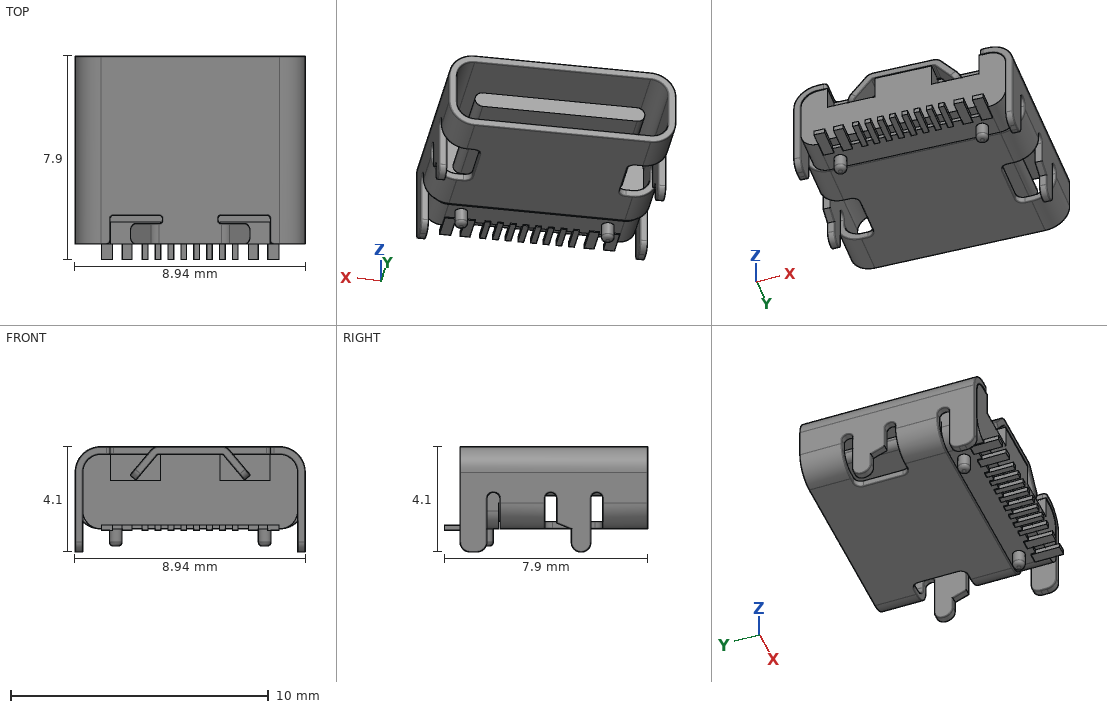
import cadquery as cq
import math


shell_width = 8.94
shell_height = 3.2
shell_length = 7.3
shell_wall = 0.3
shell_outer_radius = 1.0
shell_inner_radius = shell_outer_radius - shell_wall
shell_bottom = 0.05
shell_top = shell_bottom + shell_height
shell_middle = shell_bottom + shell_height / 2
bend_top = shell_bottom + shell_outer_radius
inner_width = shell_width - 2 * shell_wall
inner_height = shell_height - 2 * shell_wall
edge_rounding = 0.03
sharp_edge_cosine = 0.5
length_tolerance = 0.01

overall_height = 4.1
leg_bottom = shell_top - overall_height
leg_slot_width = 0.45
leg_slot_top = 1.47
mid_leg_rear = 4.32
mid_leg_front = 5.09
mid_shoulder_rear = 3.75
mid_shoulder_bottom = 0.28
rear_leg_front = 1.05
rear_leg_radius = 0.4
rear_slot_front = 1.55

floor_opening_rear = mid_shoulder_rear - leg_slot_width
floor_opening_front = mid_leg_front + leg_slot_width
floor_opening_inner_x = 2.9
floor_opening_radius = 0.3

tab_root_x = 1.22
tab_width = 0.8
tab_angle = 50.0
tab_bend_inner_radius = 0.1
tab_straight_length = 1.26
tab_tip_radius = 0.3
notch_outer_x = 3.11
notch_inner_x = 1.08
notch_depth = 1.12
notch_radius = 0.14

housing_rear = 0.0
housing_foot_front = 1.5
housing_front = 1.8
pocket_outer_x = 3.09
pocket_inner_x = 1.15
pocket_front = 0.85
pocket_floor = 1.94
tongue_width = 6.69
tongue_thickness = 0.62
tongue_edge_radius = 0.3
tongue_tip = 6.7

post_x = 2.89
post_y = 1.05
post_diameter = 0.5
post_bottom = -0.62
post_tip_radius = 0.17

pin_thickness = 0.2
pin_rear = -0.6
pin_recess_depth = 0.4
pin_inner_end = 0.6
signal_pin_offsets = [0.25, 0.75, 1.25, 1.75]
signal_pin_width = 0.23
power_pin_offset = 2.45
power_pin_width = 0.39
ground_pin_offset = 3.23
ground_pin_width = 0.44
pin_row_half_width = ground_pin_offset + ground_pin_width / 2


def box(x0, x1, y0, y1, z0, z1):
    """Box between two opposite corners."""
    return cq.Workplane("XY").box(x1 - x0, y1 - y0, z1 - z0, centered=False).translate((x0, y0, z0))


def rounded_bar(width, height, radius, z_middle, y0, y1):
    """Bar along Y with a rounded rectangular section."""
    section = cq.Workplane("XZ", origin=(0, y0, z_middle)).rect(width, height)
    return section.extrude(y0 - y1).edges("|Y").fillet(radius)


def mirrored(body):
    """The body together with its mirror image on the other side."""
    return body.union(body.mirror("YZ"))


def shell_tube():
    """Wrapped sheet open at both ends."""
    outer = rounded_bar(shell_width, shell_height, shell_outer_radius, shell_middle, 0, shell_length)
    inner = rounded_bar(inner_width, inner_height, shell_inner_radius, shell_middle, 0, shell_length)
    return outer.cut(inner)


def side_slot(rear, front):
    """Round-topped slot from the outside of the +X wall down through the shell floor."""
    width = front - rear
    x_start = shell_width / 2 - shell_outer_radius
    arch_start = leg_slot_top - width / 2
    profile = (
        cq.Workplane("YZ", origin=(x_start, 0, 0))
        .moveTo(rear, leg_bottom)
        .lineTo(rear, arch_start)
        .threePointArc(((rear + front) / 2, leg_slot_top), (front, arch_start))
        .lineTo(front, leg_bottom)
        .close()
    )
    return profile.extrude(shell_outer_radius)


def rear_floor_opening():
    """The shell floor and its corner bends stop short of the rear end."""
    half_width = shell_width / 2
    return box(-half_width, half_width, 0, rear_slot_front, shell_bottom, bend_top)


def side_floor_opening():
    """Floor and corner bend missing where the +X middle leg is left straight."""
    opening = box(
        floor_opening_inner_x, shell_width / 2,
        floor_opening_rear, floor_opening_front,
        shell_bottom, bend_top,
    )
    return opening.edges("|Z and <X").fillet(floor_opening_radius)


def legs():
    """Middle and rear leg on the +X side, as flat plates in line with the shell wall."""
    leg_plane = cq.Workplane("YZ", origin=(shell_width / 2 - shell_wall, 0, 0))
    mid_radius = (mid_leg_front - mid_leg_rear) / 2
    middle = (
        leg_plane.moveTo(mid_shoulder_rear, bend_top)
        .lineTo(mid_shoulder_rear, mid_shoulder_bottom)
        .lineTo(mid_leg_rear, shell_bottom)
        .lineTo(mid_leg_rear, leg_bottom + mid_radius)
        .threePointArc((mid_leg_rear + mid_radius, leg_bottom), (mid_leg_front, leg_bottom + mid_radius))
        .lineTo(mid_leg_front, bend_top)
        .close()
        .extrude(shell_wall)
    )
    rear = box(shell_width / 2 - shell_wall, shell_width / 2, 0, rear_leg_front, leg_bottom, bend_top)
    rear = rear.edges("|X and <Z").fillet(rear_leg_radius)
    return middle.union(rear)


def roof_notch():
    """Opening in the roof around one latch tab, with a round-ended slit beside the tab root."""
    z0 = shell_top - shell_wall
    notch = box(tab_root_x, notch_outer_x, 0, notch_depth, z0, shell_top)
    notch = notch.edges("|Z and >X and >Y").fillet(notch_radius)
    slit = box(notch_inner_x, notch_outer_x - notch_radius, tab_width, notch_depth, z0, shell_top)
    slit = slit.edges("|Z and <X").fillet(notch_radius)
    mouth = box(notch_outer_x, notch_outer_x + notch_radius, 0, notch_radius, z0, shell_top)
    mouth_round = (
        cq.Workplane("XY", origin=(notch_outer_x + notch_radius, notch_radius, z0))
        .circle(notch_radius)
        .extrude(shell_wall)
    )
    return notch.union(slit).union(mouth.cut(mouth_round))


def latch_tab():
    """Tab bent down from the roof on the +X side, with its tip corners rounded."""
    angle = math.radians(tab_angle)
    outer_radius = tab_bend_inner_radius + shell_wall
    bend_z = shell_top - outer_radius

    def bend_point(radius, turn):
        return (tab_root_x + radius * math.sin(turn), bend_z + radius * math.cos(turn))

    def straight_end(radius):
        x, z = bend_point(radius, angle)
        return (x + tab_straight_length * math.cos(angle), z - tab_straight_length * math.sin(angle))

    profile = (
        cq.Workplane("XZ")
        .moveTo(*bend_point(tab_bend_inner_radius, 0))
        .threePointArc(bend_point(tab_bend_inner_radius, angle / 2), bend_point(tab_bend_inner_radius, angle))
        .lineTo(*straight_end(tab_bend_inner_radius))
        .lineTo(*straight_end(outer_radius))
        .lineTo(*bend_point(outer_radius, angle))
        .threePointArc(bend_point(outer_radius, angle / 2), bend_point(outer_radius, 0))
        .close()
    )
    tab = profile.extrude(-tab_width)
    tip = cq.Vector(math.cos(angle), 0, -math.sin(angle))
    across_tip = cq.Vector(math.sin(angle), 0, math.cos(angle))
    tip_face = tab.faces(cq.selectors.DirectionMinMaxSelector(tip))
    tip_corners = tip_face.edges(cq.selectors.ParallelDirSelector(across_tip))
    return tip_corners.fillet(tab_tip_radius)


def soften(body):
    """Round every sharp skin edge of the sheet metal, leaving the edges across its thickness."""
    def is_sharp_skin_edge(edge):
        if edge.geomType() == "LINE" and edge.Length() < shell_wall + length_tolerance:
            return False
        middle = edge.positionAt(0.5)
        first, second = edge.ancestors(body.val(), "Face")
        return abs(first.normalAt(middle).dot(second.normalAt(middle))) < sharp_edge_cosine

    skin_edges = [edge for edge in body.edges().vals() if is_sharp_skin_edge(edge)]
    return body.newObject(skin_edges).fillet(edge_rounding)


def build_shell():
    side_slots = (
        side_slot(rear_leg_front, rear_slot_front)
        .union(side_slot(floor_opening_rear, mid_shoulder_rear))
        .union(side_slot(mid_leg_front, floor_opening_front))
    )
    shell = shell_tube().cut(rear_floor_opening()).cut(mirrored(side_floor_opening()))
    shell = shell.union(mirrored(legs())).cut(mirrored(side_slots))
    shell = shell.cut(mirrored(roof_notch())).union(mirrored(latch_tab()))
    return soften(shell)


def pocket():
    """Clearance for one latch tab in the upper rear edge of the housing."""
    return box(pocket_inner_x, pocket_outer_x, housing_rear, pocket_front, pocket_floor, shell_top)


def pin_recess():
    """Shallow step under the rear edge of the housing, where the row of pins comes out."""
    return box(
        -pin_row_half_width, pin_row_half_width, housing_rear, pin_recess_depth, shell_bottom, pin_thickness
    )


def post():
    """Round locating peg under the housing."""
    body = cq.Workplane("XY", origin=(post_x, post_y, post_bottom)).circle(post_diameter / 2)
    body = body.extrude(shell_middle - post_bottom)
    return body.faces("<Z").edges().fillet(post_tip_radius)


def build_housing():
    """Rear foot, plug closing the shell behind the mouth, tongue, and pegs."""
    roof_underside = shell_top - shell_wall
    foot_height = roof_underside - shell_bottom
    foot = rounded_bar(
        inner_width, foot_height, shell_inner_radius, shell_bottom + foot_height / 2,
        housing_rear, housing_foot_front,
    )
    plug = rounded_bar(
        inner_width, inner_height, shell_inner_radius, shell_middle, housing_foot_front, housing_front
    )
    tongue = rounded_bar(
        tongue_width, tongue_thickness, tongue_edge_radius, shell_middle, housing_foot_front, tongue_tip
    )
    housing = foot.union(plug).union(tongue)
    return housing.cut(mirrored(pocket())).cut(pin_recess()).union(mirrored(post()))


def pin(offset, width):
    """Straight flat pin lying on the board, rooted in the housing."""
    return box(offset - width / 2, offset + width / 2, pin_rear, pin_inner_end, 0, pin_thickness)


def build_pins():
    pins = pin(power_pin_offset, power_pin_width).union(pin(ground_pin_offset, ground_pin_width))
    for offset in signal_pin_offsets:
        pins = pins.union(pin(offset, signal_pin_width))
    return mirrored(pins)


result = build_shell().union(build_housing()).union(build_pins())